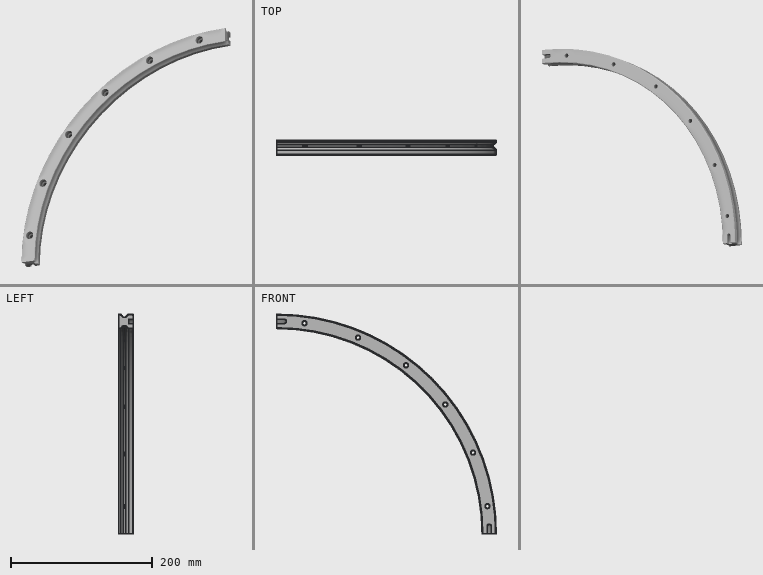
import cadquery as cq
import math

mean_radius = 300.0
radial_width = 20.0
depth = 21.0
sweep_angle = 90.0
inner_radius = mean_radius - radial_width / 2
outer_radius = mean_radius + radial_width / 2
front_chamfer = 1.0
back_chamfer = 0.5

groove_front = 6.9
groove_back = depth - 3.0
groove_depth = 4.0
groove_floor_front = 11.2
groove_floor_back = 14.5
groove_lip_width = 0.7
groove_lip_drop = 0.4

hole_count = 6
hole_diameter = 6.0
counterbore_diameter = 11.0
counterbore_depth = 8.5
hole_pitch = sweep_angle / hole_count

slot_width = 6.0
slot_length = 13.5
slot_depth = 6.5


def rim_points(rim_radius, inward):
    """Front-to-back outline of one rim; inward (+1 or -1) points into the material."""
    lip_radius = rim_radius + inward * groove_lip_drop
    floor_radius = rim_radius + inward * groove_depth
    return [
        (rim_radius + inward * front_chamfer, 0),
        (rim_radius, front_chamfer),
        (rim_radius, groove_front),
        (lip_radius, groove_front + groove_lip_width),
        (floor_radius, groove_floor_front),
        (floor_radius, groove_floor_back),
        (rim_radius, groove_back),
        (rim_radius, depth - back_chamfer),
        (rim_radius + inward * back_chamfer, depth),
    ]


def make_rail():
    """Revolve the cross-section from the +X axis up to the +Z axis."""
    outline = rim_points(outer_radius, -1) + rim_points(inner_radius, 1)[::-1]
    section = cq.Workplane("XY").polyline(outline).close()
    return section.revolve(sweep_angle, (0, 0), (0, -1))


def make_holes():
    angles = [math.radians(hole_pitch * (i + 0.5)) for i in range(hole_count)]
    centres = [(mean_radius * math.cos(a), mean_radius * math.sin(a)) for a in angles]
    holes = cq.Workplane("XZ").pushPoints(centres).circle(hole_diameter / 2).extrude(-depth)
    back_plane = cq.Workplane("XZ", origin=(0, depth, 0))
    counterbores = back_plane.pushPoints(centres).circle(counterbore_diameter / 2).extrude(counterbore_depth)
    return holes.union(counterbores)


def make_end_slot(centre, angle):
    """Slot centred on the end face; only the half inside the rail removes material."""
    sketch = cq.Workplane("XZ").center(*centre)
    return sketch.slot2D(2 * slot_length, slot_width, angle).extrude(-slot_depth)


result = (
    make_rail()
    .cut(make_holes())
    .cut(make_end_slot((mean_radius, 0), 90))
    .cut(make_end_slot((0, mean_radius), 0))
)